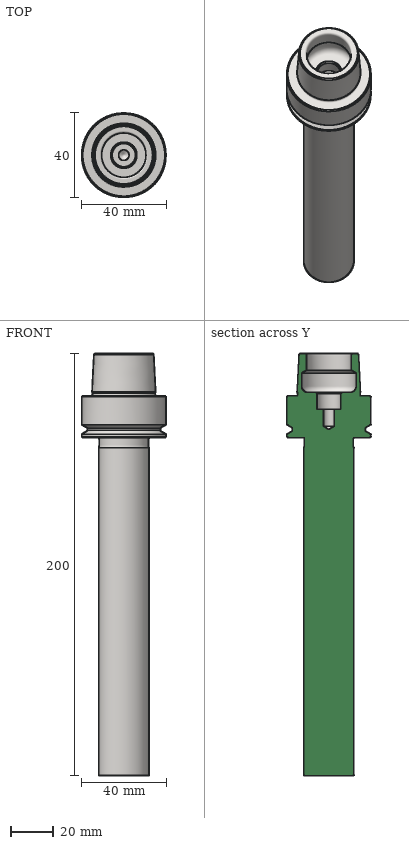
import cadquery as cq
import math

total_length = 200.0
nose_length = 20.0
collar_height = 20.0
collar_top = total_length - nose_length
collar_bottom = collar_top - collar_height

shank_diameter = 24.0
shank_end_chamfer = 0.5
neck_diameter = 23.5
neck_length = 4.0
neck_shoulder_length = 0.8
neck_shoulder_fillet = 1.5

collar_diameter = 40.0
collar_chamfer = 0.5
collar_root_fillet = 0.5
groove_floor_diameter = 34.8
groove_floor_width = 1.5
groove_centre = collar_bottom + 4.0
groove_flank_angle = 30.0
groove_fillet = 0.5

taper_ratio = 0.1
gauge_diameter = 30.0
gauge_height = 4.0
nose_chamfer = 0.5
relief_diameter = 29.8
relief_height = 1.2
relief_shoulder_height = 0.5

bore_diameter = 21.0
bore_mouth_fillet = 1.0
bore_lip_depth = 8.0
undercut_diameter = 25.5
undercut_angle = 30.0
bore_depth = 18.5
bore_floor_fillet = 2.8

coolant_chamfer_diameter = 12.5
coolant_hole_diameter = 11.0
coolant_hole_depth = 8.0
drill_diameter = 5.0
drill_depth = 8.0
drill_point_angle = 118.0

edge_tolerance = 0.002


def nose_radius(height):
    """Radius of the taper at a height above the collar face."""
    return (gauge_diameter - taper_ratio * (height - gauge_height)) / 2


def revolve_profile(points):
    """Solid of revolution about Z from (radius, z) points."""
    return cq.Workplane("XZ").polyline(points).close().revolve(360, (0, 0, 0), (0, 1, 0))


def fillet_ring(body, diameter, height, fillet_radius):
    """Round the circular edge of the given diameter at the given height."""

    def is_ring(edge):
        return (
            edge.geomType() == "CIRCLE"
            and abs(edge.radius() - diameter / 2) < edge_tolerance
            and abs(edge.Center().z - height) < edge_tolerance
        )

    return body.edges().filter(is_ring).fillet(fillet_radius)


def outer_body():
    shank_radius = shank_diameter / 2
    neck_radius = neck_diameter / 2
    neck_bottom = collar_bottom - neck_length
    collar_radius = collar_diameter / 2
    groove_radius = groove_floor_diameter / 2
    groove_low = groove_centre - groove_floor_width / 2
    groove_high = groove_centre + groove_floor_width / 2
    flank_height = (collar_radius - groove_radius) * math.tan(math.radians(groove_flank_angle))
    relief_radius = relief_diameter / 2
    taper_start = relief_height + relief_shoulder_height
    body = revolve_profile([
        (0, 0),
        (shank_radius - shank_end_chamfer, 0),
        (shank_radius, shank_end_chamfer),
        (shank_radius, neck_bottom - neck_shoulder_length),
        (neck_radius, neck_bottom),
        (neck_radius, collar_bottom),
        (collar_radius - collar_chamfer, collar_bottom),
        (collar_radius, collar_bottom + collar_chamfer),
        (collar_radius, groove_low - flank_height),
        (groove_radius, groove_low),
        (groove_radius, groove_high),
        (collar_radius, groove_high + flank_height),
        (collar_radius, collar_top - collar_chamfer),
        (collar_radius - collar_chamfer, collar_top),
        (relief_radius, collar_top),
        (relief_radius, collar_top + relief_height),
        (nose_radius(taper_start), collar_top + taper_start),
        (nose_radius(nose_length - nose_chamfer), total_length - nose_chamfer),
        (nose_radius(nose_length) - nose_chamfer, total_length),
        (0, total_length),
    ])
    body = fillet_ring(body, neck_diameter, neck_bottom, neck_shoulder_fillet)
    body = fillet_ring(body, neck_diameter, collar_bottom, collar_root_fillet)
    body = fillet_ring(body, relief_diameter, collar_top, collar_root_fillet)
    for groove_corner in (groove_low, groove_high):
        body = fillet_ring(body, groove_floor_diameter, groove_corner, groove_fillet)
    return body


def clamping_cavity():
    bore_radius = bore_diameter / 2
    undercut_radius = undercut_diameter / 2
    undercut_slope_height = (undercut_radius - bore_radius) * math.tan(math.radians(undercut_angle))
    lip_bottom = total_length - bore_lip_depth
    floor = total_length - bore_depth
    cavity = revolve_profile([
        (0, floor),
        (undercut_radius, floor),
        (undercut_radius, lip_bottom - undercut_slope_height),
        (bore_radius, lip_bottom),
        (bore_radius, total_length),
        (0, total_length),
    ])
    return fillet_ring(cavity, undercut_diameter, floor, bore_floor_fillet)


def coolant_hole():
    chamfer_radius = coolant_chamfer_diameter / 2
    hole_radius = coolant_hole_diameter / 2
    drill_radius = drill_diameter / 2
    floor = total_length - bore_depth
    hole_bottom = floor - coolant_hole_depth
    drill_bottom = hole_bottom - drill_depth
    drill_point_length = drill_radius / math.tan(math.radians(drill_point_angle / 2))
    return revolve_profile([
        (0, floor),
        (chamfer_radius, floor),
        (hole_radius, floor - (chamfer_radius - hole_radius)),
        (hole_radius, hole_bottom),
        (drill_radius, hole_bottom),
        (drill_radius, drill_bottom),
        (0, drill_bottom - drill_point_length),
    ])


body = outer_body().cut(clamping_cavity()).cut(coolant_hole())
result = fillet_ring(body, bore_diameter, total_length, bore_mouth_fillet)